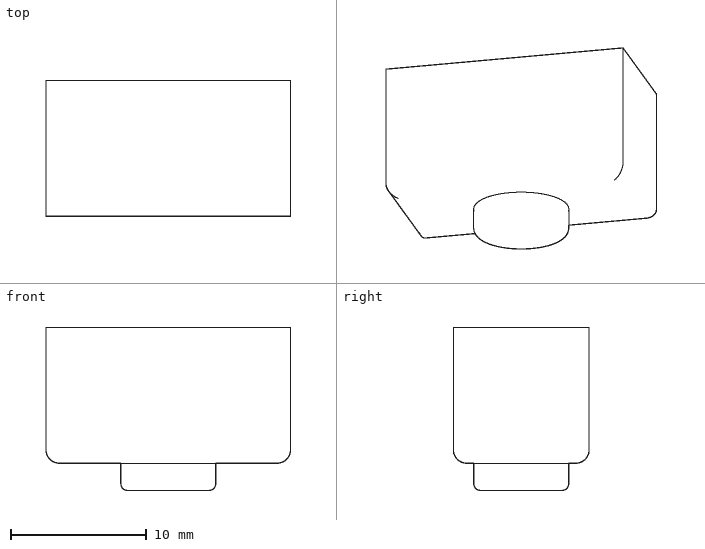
import cadquery as cq

block_length = 18.0
block_width = 10.0
block_height = 10.0
bottom_fillet = 1.0

boss_diameter = 7.0
boss_height = 2.0
boss_fillet = 0.5


def make_block():
    """Rectangular block with its bottom edges rounded, underside at Z = 0."""
    block = cq.Workplane("XY").box(
        block_length, block_width, block_height, centered=(True, True, False)
    )
    return block.faces("<Z").edges().fillet(bottom_fillet)


def make_boss():
    """Cylindrical boss hanging below Z = 0, with its free rim rounded."""
    boss = cq.Workplane("XY").circle(boss_diameter / 2).extrude(-boss_height)
    return boss.faces("<Z").edges().fillet(boss_fillet)


result = make_block().union(make_boss())